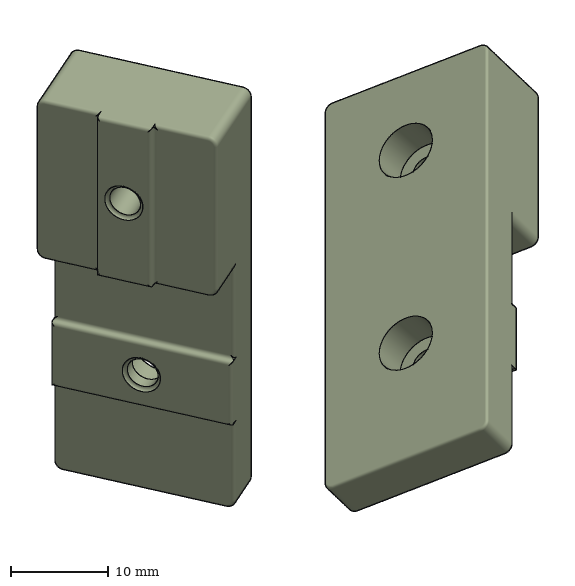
import cadquery as cq

width = 20.0
height = 50.0
plate_thickness = 5.0
block_thickness = 10.0
block_height = 20.0
block_bottom = height - block_height

key_rise = 0.8
upright_key_width = 6.0
cross_key_width = 8.0
cross_key_center = 15.0

corner_radius = 1.0
edge_radius = 0.4
back_edge_radius = 0.3

block_center = block_bottom + block_height / 2
hole_heights = (cross_key_center, block_center)
hole_diameter = 3.4
head_diameter = 6.5
head_depth = 4.0


def upright_box(size_x, size_z, center_z, back_y, front_y):
    """Box centred on X = 0, reaching from back_y forward to front_y."""
    start = cq.Workplane("XZ", origin=(0, back_y, center_z))
    return start.rect(size_x, size_z).extrude(back_y - front_y)


def rounded_slab(size_z, center_z, thickness):
    """Slab on the back plane with round corners and rounded front and back edges."""
    slab = upright_box(width, size_z, center_z, 0, -thickness)
    slab = slab.edges("|Y").fillet(corner_radius)
    slab = slab.faces("<Y").edges().fillet(edge_radius)
    return slab.faces(">Y").edges().fillet(back_edge_radius)


def key(size_x, size_z, center_z, base_thickness):
    """Raised key with rounded front edges, rooted halfway into its base."""
    bar = upright_box(size_x, size_z, center_z, -base_thickness / 2, -base_thickness - key_rise)
    return bar.faces("<Y").edges().fillet(edge_radius)


def foot_fillet(length, face_y):
    """Concave fillet along X with mitred ends.

    The wall it leans on is the plane Z = 0 and the fillet grows toward -Z.
    It is rooted one radius below the face so that it fills rounded face ends.
    """
    far_length = length - 2 * edge_radius
    outline = [
        (-length / 2, 0),
        (length / 2, 0),
        (far_length / 2, -edge_radius),
        (-far_length / 2, -edge_radius),
    ]
    strip = (
        cq.Workplane("XZ", origin=(0, face_y + edge_radius, 0))
        .polyline(outline)
        .close()
        .extrude(2 * edge_radius)
    )
    hollow = (
        cq.Workplane("YZ", origin=(-length / 2, face_y - edge_radius, -edge_radius))
        .circle(edge_radius)
        .extrude(length)
    )
    return strip.cut(hollow)


def turned(shape, angle):
    """Shape turned about the Y axis."""
    return shape.rotate((0, 0, 0), (0, 1, 0), angle)


def screw_hole(center_z, front_y):
    """Through hole with a rounded front rim and a head recess at the back."""
    start = cq.Workplane("XZ", origin=(0, 0, center_z))
    bore = start.circle(hole_diameter / 2).extrude(-front_y)
    recess = start.circle(head_diameter / 2).extrude(head_depth)
    rim_radius = hole_diameter / 2 + edge_radius
    rim = (
        cq.Workplane("XY")
        .moveTo(0, front_y)
        .lineTo(rim_radius, front_y)
        .radiusArc((hole_diameter / 2, front_y + edge_radius), -edge_radius)
        .lineTo(0, front_y + edge_radius)
        .close()
        .revolve(360, (0, 0, 0), (0, 1, 0))
        .translate((0, 0, center_z))
    )
    return bore.union(recess).union(rim)


body = rounded_slab(height, height / 2, plate_thickness)
body = body.union(rounded_slab(block_height, block_center, block_thickness))

underside_fillet = foot_fillet(width - 2 * corner_radius, -plate_thickness)
body = body.union(underside_fillet.translate((0, 0, block_bottom)))

body = body.union(key(upright_key_width, block_height, block_center, block_thickness))
upright_foot = foot_fillet(block_height, -block_thickness)
for side in (-1, 1):
    foot = turned(upright_foot, -90 * side)
    body = body.union(foot.translate((side * upright_key_width / 2, 0, block_center)))

body = body.union(key(width, cross_key_width, cross_key_center, plate_thickness))
cross_foot = foot_fillet(width, -plate_thickness)
for side, angle in ((-1, 0), (1, 180)):
    foot = turned(cross_foot, angle)
    body = body.union(foot.translate((0, 0, cross_key_center + side * cross_key_width / 2)))

for center_z, base_thickness in zip(hole_heights, (plate_thickness, block_thickness)):
    body = body.cut(screw_hole(center_z, -base_thickness - key_rise))

result = body